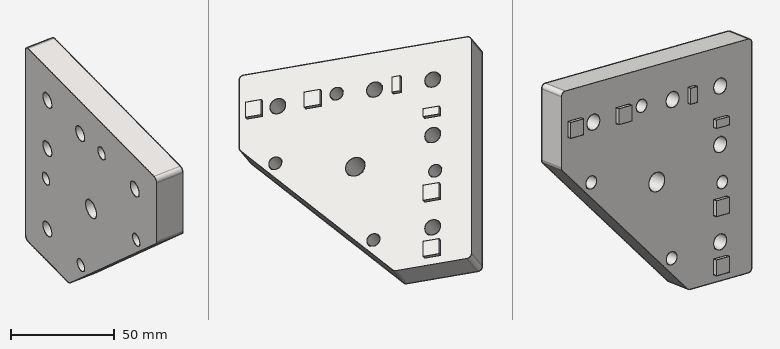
import cadquery as cq

side = 120.0
thickness = 15.0
short_edge = 40.0
corner_radius = 2.4

edge_inset = 20.0
bolt_diameter = 8.2
bolt_near = 50.0
bolt_far = 100.0

dowel_diameter = 6.7
dowel_inset = 18.7
dowel_along_arm = 69.6
diagonal_dowel = (101.3, 50.6)

centre_hole_diameter = 10.0
centre_hole_inset = 60.0

key_height = 2.0
key_width = 8.2
keys = [(36.0, 4.3), (77.4, 8.2), (107.8, 8.2)]


def both_arms(points):
    """Add each point's mirror image about the plate's diagonal."""
    return points + [(down, across) for across, down in points]


def cut_holes(body, points, diameter):
    """Cut through holes at points given as distances right and down from the corner."""
    placed = [(across, -down) for across, down in points]
    holes = cq.Workplane("XZ").pushPoints(placed).circle(diameter / 2).extrude(-thickness)
    return body.cut(holes)


def key_block(centre, size):
    """Key standing on the back face, centred right and down from the corner."""
    across, down = centre
    width, height = size
    back = cq.Workplane("XZ", origin=(0, thickness, 0))
    return back.center(across, -down).rect(width, height).extrude(-key_height)


plate = (
    cq.Workplane("XZ")
    .polyline([(0, 0), (side, 0), (side, -short_edge), (short_edge, -side), (0, -side)])
    .close()
    .extrude(-thickness)
    .edges("|Y")
    .fillet(corner_radius)
)

bolt_points = [(edge_inset, edge_inset)]
bolt_points += both_arms([(bolt_near, edge_inset), (bolt_far, edge_inset)])
plate = cut_holes(plate, bolt_points, bolt_diameter)

dowel_points = both_arms([(dowel_along_arm, dowel_inset), diagonal_dowel])
plate = cut_holes(plate, dowel_points, dowel_diameter)
plate = cut_holes(plate, [(centre_hole_inset, centre_hole_inset)], centre_hole_diameter)

for start, length in keys:
    middle = start + length / 2
    plate = plate.union(key_block((middle, edge_inset), (length, key_width)))
    plate = plate.union(key_block((edge_inset, middle), (key_width, length)))

result = plate